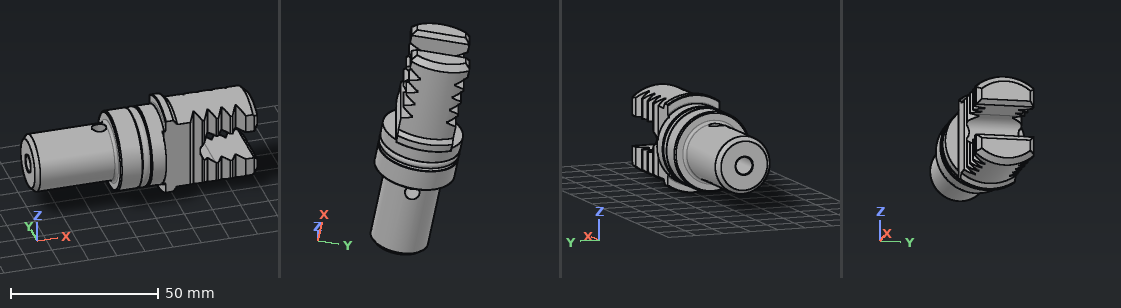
import cadquery as cq
import math

total_length = 79.0
collar_start = 28.8
groove_start = 36.65
groove_end = 40.0
flat_start = 45.0
band_start = 46.05
band_end = 48.8

shank_diameter = 20.0
shank_chamfer = 1.5
bore_diameter = 6.0
bore_depth = 28.45
bore_chamfer = 0.2
drill_tip_angle = 118.0
cross_hole_diameter = 5.0
cross_hole_x = 25.3

collar_diameter = 27.8
collar_chamfer = 0.5
shank_fillet = 1.0
groove_edge_chamfer = 0.15
ring_inner_diameter = 22.6
ring_section = 2.7
ring_x = 38.55

band_diameter = 33.9
band_fillet = 0.5
band_edge_chamfer = 0.2
head_diameter = 31.0
head_end_chamfer = 2.05
flat_width = 18.95
relief_width = 0.5
relief_depth = 0.15
tip_width = shank_diameter
tip_edge_chamfer = 1.6

notch_count = 4
notch_pitch = 5.0
first_notch_x = 57.0
notch_floor_width = 0.2
notch_floor_spacing = 12.0
notch_angle = 60.0

slot_width = 10.5
slot_start = 58.6
slot_mouth_chamfer = 1.6

cutter_height = 2 * band_diameter


def revolve_about_x(profile):
    return profile.close().revolve(360, (0, 0, 0), (1, 0, 0))


def make_turned_blank():
    """Shank, grooved collar, band and head as one turned shape."""
    shank_r = shank_diameter / 2
    collar_r = collar_diameter / 2
    groove_r = ring_inner_diameter / 2
    band_r = band_diameter / 2
    head_r = head_diameter / 2
    corner = math.sqrt(0.5)
    profile = (
        cq.Workplane("XY")
        .lineTo(0, shank_r - shank_chamfer)
        .lineTo(shank_chamfer, shank_r)
        .lineTo(collar_start - shank_fillet, shank_r)
        .threePointArc(
            (collar_start - shank_fillet * (1 - corner), shank_r + shank_fillet * (1 - corner)),
            (collar_start, shank_r + shank_fillet),
        )
        .lineTo(collar_start, collar_r - collar_chamfer)
        .lineTo(collar_start + collar_chamfer, collar_r)
        .lineTo(groove_start - groove_edge_chamfer, collar_r)
        .lineTo(groove_start, collar_r - groove_edge_chamfer)
        .lineTo(groove_start, groove_r)
        .lineTo(groove_end, groove_r)
        .lineTo(groove_end, collar_r - groove_edge_chamfer)
        .lineTo(groove_end + groove_edge_chamfer, collar_r)
        .lineTo(band_start - band_fillet, collar_r)
        .threePointArc(
            (band_start - band_fillet * (1 - corner), collar_r + band_fillet * (1 - corner)),
            (band_start, collar_r + band_fillet),
        )
        .lineTo(band_start, band_r - band_edge_chamfer)
        .lineTo(band_start + band_edge_chamfer, band_r)
        .lineTo(band_end, band_r)
        .lineTo(band_end + band_r - head_r, head_r)
        .lineTo(total_length - head_end_chamfer, head_r)
        .lineTo(total_length, head_r - head_end_chamfer)
        .lineTo(total_length, 0)
    )
    return revolve_about_x(profile)


def make_bore():
    """Blind drilled hole along the shank axis, with a chamfered mouth."""
    bore_r = bore_diameter / 2
    tip_length = bore_r / math.tan(math.radians(drill_tip_angle / 2))
    profile = (
        cq.Workplane("XY")
        .lineTo(0, bore_r + bore_chamfer)
        .lineTo(bore_chamfer, bore_r)
        .lineTo(bore_depth, bore_r)
        .lineTo(bore_depth + tip_length, 0)
    )
    return revolve_about_x(profile)


def make_cross_hole():
    return (
        cq.Workplane("XY")
        .center(cross_hole_x, 0)
        .circle(cross_hole_diameter / 2)
        .extrude(cutter_height / 2, both=True)
    )


def make_side_cutter():
    """Material removed from the +Y side: flat with foot relief, V notches and tip edge chamfer."""
    flat_y = flat_width / 2
    tip_y = tip_width / 2
    floor_y = notch_floor_spacing / 2
    slope = math.tan(math.radians(notch_angle / 2))
    clear_y = band_diameter
    flat_half = notch_floor_width / 2 + (flat_y - floor_y) * slope
    tip_half = notch_floor_width / 2 + (tip_y - floor_y) * slope

    outline = (
        cq.Workplane("XY")
        .moveTo(flat_start, clear_y)
        .lineTo(flat_start, flat_y - relief_depth)
        .lineTo(flat_start + relief_width, flat_y - relief_depth)
        .lineTo(flat_start + relief_width, flat_y)
    )
    for i in range(notch_count):
        x = first_notch_x + i * notch_pitch
        is_last = i == notch_count - 1
        outline = (
            outline.lineTo(x - flat_half, flat_y)
            .lineTo(x - notch_floor_width / 2, floor_y)
            .lineTo(x + notch_floor_width / 2, floor_y)
        )
        if is_last:
            outline = outline.lineTo(x + tip_half, tip_y)
        else:
            outline = outline.lineTo(x + flat_half, flat_y)
    outline = (
        outline.lineTo(total_length - tip_edge_chamfer, tip_y)
        .lineTo(total_length, tip_y - tip_edge_chamfer)
        .lineTo(total_length, clear_y)
        .close()
    )
    return outline.extrude(cutter_height / 2, both=True)


def make_slot():
    """Round-ended slot through Y, open at the head end with a chamfered mouth."""
    half = slot_width / 2
    arc_x = slot_start + half
    mouth_x = total_length - slot_mouth_chamfer
    mouth_half = half + slot_mouth_chamfer
    return (
        cq.Workplane("XZ")
        .moveTo(arc_x, half)
        .threePointArc((slot_start, 0), (arc_x, -half))
        .lineTo(mouth_x, -half)
        .lineTo(total_length, -mouth_half)
        .lineTo(total_length, mouth_half)
        .lineTo(mouth_x, half)
        .close()
        .extrude(cutter_height / 2, both=True)
    )


def make_plug():
    side_cutter = make_side_cutter()
    return (
        make_turned_blank()
        .cut(make_bore())
        .cut(make_cross_hole())
        .cut(side_cutter)
        .cut(side_cutter.mirror("XZ"))
        .cut(make_slot())
    )


def make_seal_ring():
    """O-ring seated on the groove floor."""
    section_r = ring_section / 2
    path_r = ring_inner_diameter / 2 + section_r
    return (
        cq.Workplane("XY")
        .center(ring_x, path_r)
        .circle(section_r)
        .revolve(360, (0, -path_r, 0), (1, -path_r, 0))
    )


plug = make_plug()
seal_ring = make_seal_ring()

result = cq.Compound.makeCompound([plug.val(), seal_ring.val()])